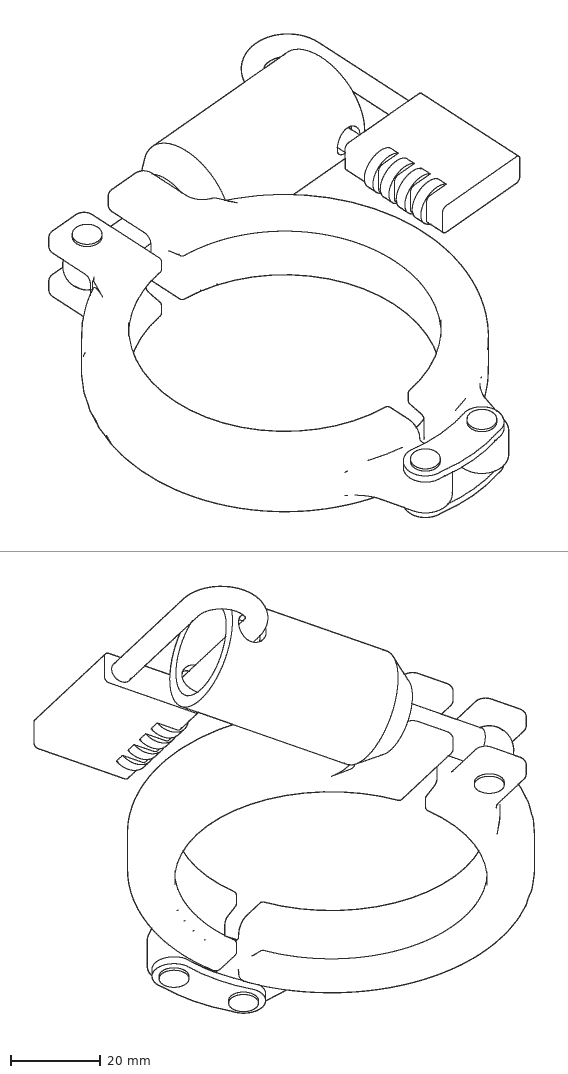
import cadquery as cq
import math

ring_radius = 45.5
bore_radius = 35.0
ring_half_height = 8.7
ring_shoulder_fillet = 3.8
groove_floor_radius = 39.9
groove_mouth_half_height = 4.7
groove_floor_half_height = 3.6
lip_fillet = 1.1
half_gap = 3.1
edge_fillet = 1.0
web_radius = (groove_floor_radius + ring_radius) / 2 - 1.3

ear_end_x = -59.5
ear_outer_y = 16.1
ear_corner_radius = 2.8
ear_blend_radius = 5.1
ear_shoulder_angle = 148.7
fork_half_height = 4.4
fork_floor_x = -45.2
fork_floor_fillet = 1.6

hinge_x = 52.4
hinge_y = 9.1
lug_radius = hinge_y - half_gap
lug_slope = 16.0
lug_blend_radius = 10.0
link_thickness = 1.9
link_radius = 5.0
link_bow = 1.1
pin_radius = 3.4
pin_rim = 0.7
pin_dome = 0.5

bolt_x = -52.1
bolt_radius = 4.2
pivot_y = -9.6
ball_radius = 5.5

shroud_radius = 27.0 / 2
shroud_front_y = ear_outer_y
shroud_cone_end_y = 22.5
shroud_back_y = 65.9
shroud_nose_radius = 9.1
shroud_wall = 2.7
shackle_hole_radius = 3.6

shackle_radius = 2.5
shackle_bend_radius = 7.9
shackle_bend_x = -65.1
shackle_near_y = 60.7
lock_x = (-35.2, -5.0)
lock_y = (56.0, 81.0)
lock_half_height = 4.0
lock_edge_fillet = 1.2
dial_radius = 5.1
dial_width = 2.7
dial_count = 4
dial_pitch = 5.0
first_dial_x = -26.1
dial_y = 59.2


def polar(radius, degrees):
    """Point at the given radius and angle around the Z axis."""
    angle = math.radians(degrees)
    return radius * math.cos(angle), radius * math.sin(angle)


def half_ring():
    """The half of the grooved ring on the +Y side of the gap."""
    mouth = groove_mouth_half_height
    floor = groove_floor_half_height
    ring = (
        cq.Workplane("XZ")
        .moveTo(bore_radius, -ring_half_height)
        .lineTo(ring_radius, -ring_half_height)
        .lineTo(ring_radius, ring_half_height)
        .lineTo(bore_radius, ring_half_height)
        .lineTo(bore_radius, mouth)
        .lineTo(groove_floor_radius, floor)
        .lineTo(groove_floor_radius, -floor)
        .lineTo(bore_radius, -mouth)
        .close()
        .revolve(360, (0, 0, 0), (0, 1, 0))
    )
    groove_floor_edges = cq.selectors.BoxSelector(
        (-ring_radius, 0, 0.1 - mouth), (ring_radius, ring_radius, mouth - 0.1)
    )
    keep = cq.Workplane("XY").box(3 * ring_radius, 2 * ring_radius, 3 * ring_radius)
    ring = ring.intersect(keep.translate((0, half_gap + ring_radius, 0)))
    ring = ring.edges("%CIRCLE").edges(groove_floor_edges).fillet(lip_fillet)
    ring = ring.edges("%CIRCLE").edges(cq.selectors.RadiusNthSelector(-1)).fillet(ring_shoulder_fillet)
    ring = ring.edges("%CIRCLE").edges(cq.selectors.RadiusNthSelector(0)).fillet(lip_fillet)
    return ring.faces("<Y").edges().fillet(edge_fillet)


def ear():
    """Ear block with a concave blend into the ring."""
    blend_y = ear_outer_y + ear_blend_radius
    blend_x = -math.sqrt((ring_radius + ear_blend_radius) ** 2 - blend_y**2)
    blend_end_angle = math.degrees(math.atan2(blend_y, blend_x))
    to_ring = math.atan2(-blend_y, -blend_x)
    middle = (to_ring - math.pi / 2) / 2
    return (
        cq.Workplane("XY")
        .moveTo(-web_radius, half_gap)
        .lineTo(ear_end_x, half_gap)
        .lineTo(ear_end_x, ear_outer_y)
        .lineTo(blend_x, ear_outer_y)
        .threePointArc(
            (blend_x + ear_blend_radius * math.cos(middle), blend_y + ear_blend_radius * math.sin(middle)),
            polar(ring_radius, blend_end_angle),
        )
        .lineTo(*polar(ring_radius - ring_shoulder_fillet, ear_shoulder_angle))
        .lineTo(*polar(web_radius, blend_end_angle))
        .close()
        .extrude(ring_half_height, both=True)
        .edges("|Z and <X")
        .fillet(ear_corner_radius)
        .faces("<Z or >Z")
        .edges("<X")
        .fillet(edge_fillet)
    )


def lug():
    """Hinge lug around one hinge pin, with a concave blend into the ring."""
    slope = math.radians(lug_slope)
    normal = (math.sin(slope), math.cos(slope))
    along = (math.cos(slope), -math.sin(slope))
    flank = normal[0] * hinge_x + normal[1] * hinge_y + lug_radius
    across = flank + lug_blend_radius
    run = math.sqrt((ring_radius + lug_blend_radius) ** 2 - across**2)
    blend_x = across * normal[0] + run * along[0]
    blend_y = across * normal[1] + run * along[1]
    blend_end_angle = math.degrees(math.atan2(blend_y, blend_x))
    start = -math.pi / 2 - slope
    end = math.radians(blend_end_angle) - math.pi
    middle = (start + end) / 2
    return (
        cq.Workplane("XY")
        .moveTo(web_radius, half_gap)
        .lineTo(hinge_x, half_gap)
        .threePointArc(
            (hinge_x + lug_radius, hinge_y),
            (hinge_x + lug_radius * normal[0], hinge_y + lug_radius * normal[1]),
        )
        .lineTo(blend_x - lug_blend_radius * normal[0], blend_y - lug_blend_radius * normal[1])
        .threePointArc(
            (blend_x + lug_blend_radius * math.cos(middle), blend_y + lug_blend_radius * math.sin(middle)),
            polar(ring_radius, blend_end_angle),
        )
        .lineTo(*polar(web_radius, blend_end_angle))
        .close()
        .extrude(fork_half_height, both=True)
        .faces("<Z or >Z")
        .edges(">X")
        .fillet(edge_fillet)
    )


def fork_slot():
    """Slot that splits an ear into two fork plates."""
    length = fork_floor_x - ear_end_x + 1.3
    return (
        cq.Workplane("XY")
        .box(length, 3 * ear_outer_y, 2 * fork_half_height)
        .translate((fork_floor_x - length / 2, ear_outer_y, 0))
        .edges(">X and |Y")
        .fillet(fork_floor_fillet)
    )


def clamp_half():
    """Ring half with its forked ear and its hinge lug, on the +Y side of the gap."""
    half = half_ring().union(ear()).union(lug()).cut(fork_slot())

    reach = fork_half_height + 0.1
    slot_edges = cq.selectors.BoxSelector(
        (ear_end_x - 1.3, 0, -reach), (fork_floor_x + 0.4, 2 * ear_outer_y, reach)
    )
    floor_edges = cq.selectors.BoxSelector(
        (fork_floor_x - 2.7, half_gap + 1.3, -reach), (fork_floor_x + 1.3, ear_outer_y - 1.3, reach)
    )
    half = half.edges(slot_edges - floor_edges).fillet(edge_fillet)

    lug_root_edges = cq.selectors.BoxSelector(
        (web_radius, hinge_y - 2.7, -reach), (ring_radius, hinge_y + 2.7, reach)
    )
    return half.edges(lug_root_edges).fillet(edge_fillet)


def pin(x, y, half_length):
    """Pin along Z whose rimmed, domed heads stand proud of the given half length at both ends."""
    rim = half_length + pin_rim
    top = rim + pin_dome
    sphere_radius = (pin_radius**2 + pin_dome**2) / (2 * pin_dome)
    dome_x = pin_radius / 2
    dome_z = top - sphere_radius + math.sqrt(sphere_radius**2 - dome_x**2)
    return (
        cq.Workplane("XZ")
        .moveTo(0, -top)
        .threePointArc((dome_x, -dome_z), (pin_radius, -rim))
        .lineTo(pin_radius, rim)
        .threePointArc((dome_x, dome_z), (0, top))
        .close()
        .revolve(360, (0, 0, 0), (0, 1, 0))
        .translate((x, y, 0))
    )


def link_plate():
    """Link plate over the hinge lugs, bowed outward between its round ends."""
    inner_x = hinge_x - link_radius
    outer_x = hinge_x + link_radius
    return (
        cq.Workplane("XY")
        .workplane(offset=fork_half_height)
        .moveTo(inner_x, -hinge_y)
        .threePointArc((inner_x + link_bow, 0), (inner_x, hinge_y))
        .threePointArc((hinge_x, hinge_y + link_radius), (outer_x, hinge_y))
        .threePointArc((outer_x + link_bow, 0), (outer_x, -hinge_y))
        .threePointArc((hinge_x, -hinge_y - link_radius), (inner_x, -hinge_y))
        .close()
        .extrude(link_thickness)
    )


def build_clamp():
    """Both clamp halves joined by the link plates and pins of the hinge."""
    back_half = clamp_half()
    front_half = back_half.mirror("XZ").cut(pin(bolt_x, pivot_y, ring_half_height))
    upper_link = link_plate()
    clamp = back_half.union(upper_link).union(upper_link.mirror("XY")).union(front_half)
    for y in (-hinge_y, hinge_y):
        clamp = clamp.union(pin(hinge_x, y, fork_half_height + link_thickness))
    return clamp


def build_swing_bolt():
    """Bolt with a ball end held between the fork plates by a pivot pin."""
    ball = cq.Workplane("XY").sphere(ball_radius).translate((bolt_x, pivot_y, 0))
    fork_space = cq.Workplane("XY").box(3 * ball_radius, 3 * ball_radius, 2 * fork_half_height)
    ball = ball.intersect(fork_space.translate((bolt_x, pivot_y, 0)))
    rod = (
        cq.Workplane("XZ", origin=(bolt_x, pivot_y, 0))
        .circle(bolt_radius)
        .extrude(pivot_y - shroud_cone_end_y)
    )
    return ball.union(rod).union(pin(bolt_x, pivot_y, ring_half_height))


def build_shroud(clamp):
    """Cup around the bolt's free end, with a cross hole for the shackle, cleared where it meets the ring."""
    bore = shroud_radius - shroud_wall
    cup = (
        cq.Workplane("XY")
        .moveTo(bolt_radius, shroud_front_y)
        .lineTo(shroud_nose_radius, shroud_front_y)
        .lineTo(shroud_radius, shroud_cone_end_y)
        .lineTo(shroud_radius, shroud_back_y)
        .lineTo(bore, shroud_back_y)
        .lineTo(bore, shroud_cone_end_y)
        .lineTo(bolt_radius, shroud_cone_end_y)
        .close()
        .revolve(360, (0, 0, 0), (0, 1, 0))
        .translate((bolt_x, 0, 0))
    )
    shackle_hole = (
        cq.Workplane("YZ", origin=(bolt_x, shackle_near_y, 0))
        .circle(shackle_hole_radius)
        .extrude(2 * shroud_radius, both=True)
    )
    return cup.cut(shackle_hole).cut(clamp)


def build_padlock():
    """Combination padlock: block, four dials and a U-shaped shackle."""
    width = lock_x[1] - lock_x[0]
    depth = lock_y[1] - lock_y[0]
    padlock = (
        cq.Workplane("XY")
        .box(width, depth, 2 * lock_half_height)
        .edges("|X")
        .fillet(lock_edge_fillet)
        .translate((sum(lock_x) / 2, sum(lock_y) / 2, 0))
    )
    for index in range(dial_count):
        dial = (
            cq.Workplane("YZ", origin=(first_dial_x + index * dial_pitch, dial_y, 0))
            .circle(dial_radius)
            .extrude(dial_width / 2, both=True)
        )
        padlock = padlock.union(dial)

    shackle_far_y = shackle_near_y + 2 * shackle_bend_radius
    path = (
        cq.Workplane("XY")
        .moveTo(lock_x[0], shackle_near_y)
        .lineTo(shackle_bend_x, shackle_near_y)
        .threePointArc(
            (shackle_bend_x - shackle_bend_radius, shackle_near_y + shackle_bend_radius),
            (shackle_bend_x, shackle_far_y),
        )
        .lineTo(lock_x[0], shackle_far_y)
    )
    shackle = (
        cq.Workplane("YZ", origin=(lock_x[0], shackle_near_y, 0)).circle(shackle_radius).sweep(path)
    )
    return padlock.union(shackle)


clamp = build_clamp()
swing_bolt = build_swing_bolt()
shroud = build_shroud(clamp)
padlock = build_padlock()

result = cq.Compound.makeCompound([clamp.val(), swing_bolt.val(), shroud.val(), padlock.val()])